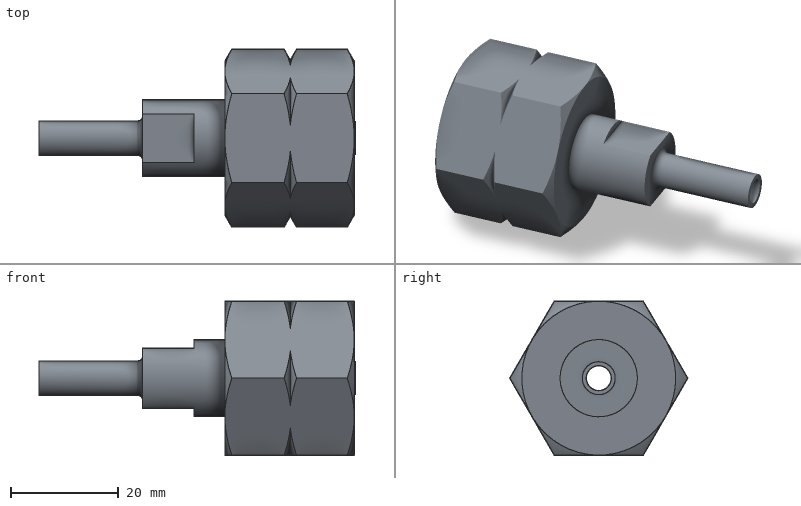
import cadquery as cq
import math

TOTAL_LENGTH = 58.65
NECK_START = 19.2
NUT_START = 34.45
NUT_LENGTH = 24.0
NUT_END = NUT_START + NUT_LENGTH

TUBE_RADIUS = 3.2
BORE_RADIUS = 2.3
NECK_RADIUS = 7.15
NOSE_RADIUS = 3.05
TUBE_FILLET = 0.8
FLAT_LENGTH = 9.5
FLAT_SPACING = 11.15

ACROSS_FLATS = 28.6
CORNER_RADIUS = ACROSS_FLATS / math.sqrt(3)
END_FACE_RADIUS = 14.25
GROOVE_OFFSET = 12.15
GROOVE_FLOOR_RADIUS = 14.5
CONE_ANGLE = math.radians(30)


def cone_length(start_radius):
    """Axial length of a cone that rises from start_radius to the hexagon's corners."""
    return (CORNER_RADIUS - start_radius) * math.tan(CONE_ANGLE)


def make_nipple():
    """Bored tube that widens through a fillet into the neck carried by the nut."""
    fillet_start = NECK_START - TUBE_FILLET
    fillet_top = TUBE_RADIUS + TUBE_FILLET
    arc_offset = TUBE_FILLET * math.sqrt(0.5)
    body = (
        cq.Workplane("XY")
        .moveTo(0, BORE_RADIUS)
        .lineTo(0, TUBE_RADIUS)
        .lineTo(fillet_start, TUBE_RADIUS)
        .threePointArc(
            (fillet_start + arc_offset, fillet_top - arc_offset),
            (NECK_START, fillet_top),
        )
        .lineTo(NECK_START, NECK_RADIUS)
        .lineTo(NUT_END, NECK_RADIUS)
        .lineTo(NUT_END, NOSE_RADIUS)
        .lineTo(TOTAL_LENGTH, NOSE_RADIUS)
        .lineTo(TOTAL_LENGTH, BORE_RADIUS)
        .close()
        .revolve(360, (0, 0, 0), (1, 0, 0))
    )
    return cut_wrench_flats(body)


def cut_wrench_flats(body):
    """Cut two parallel flats, facing +Z and -Z, into the front of the neck."""
    cut_depth = NECK_RADIUS - FLAT_SPACING / 2
    for side in (1, -1):
        cutter = cq.Workplane("XY").box(FLAT_LENGTH, 2 * NECK_RADIUS, cut_depth).translate(
            (NECK_START + FLAT_LENGTH / 2, 0, side * (FLAT_SPACING + cut_depth) / 2)
        )
        body = body.cut(cutter)
    return body


def make_nut():
    """Hexagonal nut with corners along +Y and -Y, bored to fit the neck."""
    hexagon = (
        cq.Workplane("YZ", origin=(NUT_START, 0, 0))
        .polygon(6, 2 * CORNER_RADIUS)
        .extrude(NUT_LENGTH)
    )
    neck_hole = (
        cq.Workplane("YZ", origin=(NUT_START, 0, 0))
        .circle(NECK_RADIUS)
        .extrude(NUT_LENGTH)
    )
    return hexagon.intersect(turned_envelope()).cut(neck_hole)


def turned_envelope():
    """Round blank that trims the hexagon's corners to the chamfers and the V groove."""
    chamfer = cone_length(END_FACE_RADIUS)
    groove_half_width = cone_length(GROOVE_FLOOR_RADIUS)
    groove_x = NUT_START + GROOVE_OFFSET
    return (
        cq.Workplane("XY")
        .moveTo(NUT_START, 0)
        .lineTo(NUT_START, END_FACE_RADIUS)
        .lineTo(NUT_START + chamfer, CORNER_RADIUS)
        .lineTo(groove_x - groove_half_width, CORNER_RADIUS)
        .lineTo(groove_x, GROOVE_FLOOR_RADIUS)
        .lineTo(groove_x + groove_half_width, CORNER_RADIUS)
        .lineTo(NUT_END - chamfer, CORNER_RADIUS)
        .lineTo(NUT_END, END_FACE_RADIUS)
        .lineTo(NUT_END, 0)
        .close()
        .revolve(360, (0, 0, 0), (1, 0, 0))
    )


nipple = make_nipple()
nut = make_nut()
result = cq.Compound.makeCompound([nipple.val(), nut.val()])